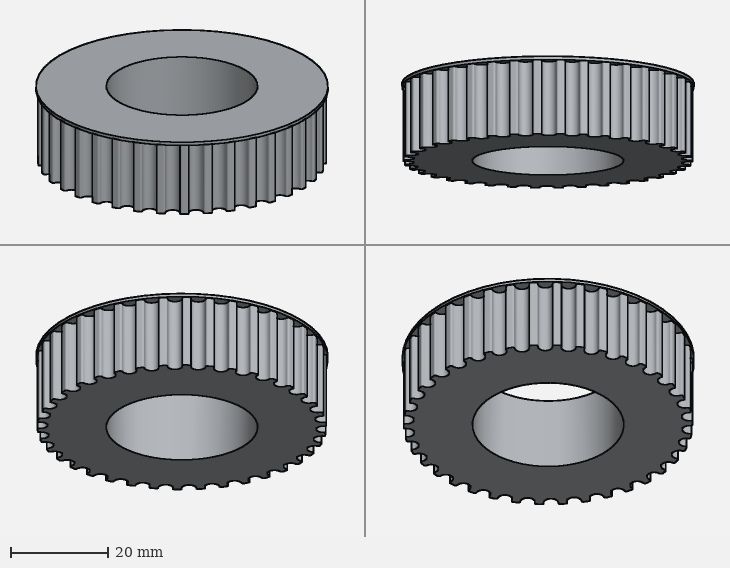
import cadquery as cq
import math

flange_radius = 30.0
flange_thickness = 0.7
total_height = 16.15
bore_radius = 15.55

tooth_count = 38
rim_radius = 29.7
groove_depth = 2.1
groove_radius = 1.5
tip_radius = 0.4
first_groove_angle = -90.0

rim_height = total_height - flange_thickness
pitch_angle = 360.0 / tooth_count

bottom_center_x = rim_radius - groove_depth + groove_radius
tip_center_y = groove_radius + tip_radius
tip_center_distance = rim_radius - tip_radius
tip_center_x = math.sqrt(tip_center_distance**2 - tip_center_y**2)
tip_angle = math.atan2(tip_center_y, tip_center_x)


def tip_point(angle):
    """Point on the upper tip arc, at an angle from the radial axis of the groove."""
    return (
        tip_center_x + tip_radius * math.cos(angle),
        tip_center_y + tip_radius * math.sin(angle),
    )


def mirrored(point):
    """The same point on the other side of the groove."""
    return (point[0], -point[1])


def groove_cutter():
    """Solid that removes one groove lying on the +X axis."""
    flank_angle = -math.pi / 2
    rim_point = tip_point(tip_angle)
    tip_middle = tip_point((tip_angle + flank_angle) / 2)
    flank_top = tip_point(flank_angle)
    flank_bottom = (bottom_center_x, groove_radius)
    root = (rim_radius - groove_depth, 0.0)
    return (
        cq.Workplane("XY")
        .moveTo(*rim_point)
        .threePointArc(tip_middle, flank_top)
        .lineTo(*flank_bottom)
        .threePointArc(root, mirrored(flank_bottom))
        .lineTo(*mirrored(flank_top))
        .threePointArc(mirrored(tip_middle), mirrored(rim_point))
        .threePointArc((rim_radius, 0.0), rim_point)
        .close()
        .extrude(rim_height)
    )


def toothed_rim():
    """Cylinder below the flange with grooves running its full height."""
    rim = cq.Workplane("XY").circle(rim_radius).extrude(rim_height)
    cutter = groove_cutter()
    for index in range(tooth_count):
        angle = first_groove_angle + index * pitch_angle
        rim = rim.cut(cutter.rotate((0, 0, 0), (0, 0, 1), angle))
    return rim


flange = cq.Workplane("XY").workplane(offset=rim_height).circle(flange_radius).extrude(flange_thickness)
bore = cq.Workplane("XY").circle(bore_radius).extrude(total_height)

result = toothed_rim().union(flange).cut(bore)